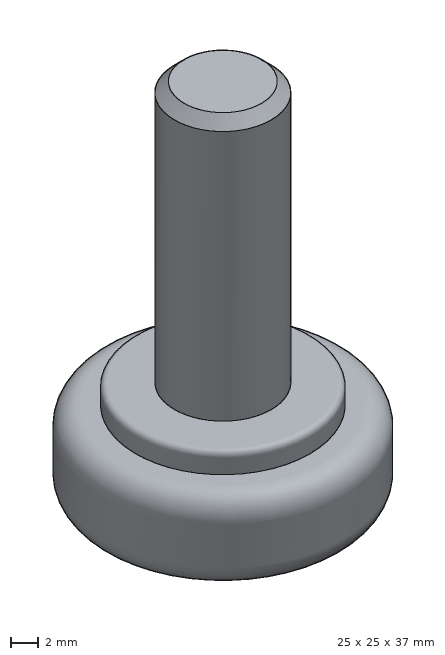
import cadquery as cq

head_diameter = 25.0
head_height = 8.0
head_fillet = 2.0
collar_diameter = 18.0
collar_height = 2.0
collar_fillet = 0.5
shank_diameter = 10.0
shank_chamfer = 1.0
overall_height = 37.0

collar_base = head_height
shank_base = collar_base + collar_height
shank_length = overall_height - shank_base


def cylinder(diameter, height, base):
    """Upright cylinder on the Z axis, starting at the given level."""
    return cq.Workplane("XY").workplane(offset=base).circle(diameter / 2).extrude(height)


def make_head():
    """Round head with both rims rounded."""
    return cylinder(head_diameter, head_height, 0).edges("%CIRCLE").fillet(head_fillet)


def make_collar():
    """Shoulder on the head with a rounded upper rim."""
    return cylinder(collar_diameter, collar_height, collar_base).faces(">Z").edges().fillet(collar_fillet)


def make_shank():
    """Plain shank with a chamfered tip."""
    return cylinder(shank_diameter, shank_length, shank_base).faces(">Z").edges().chamfer(shank_chamfer)


result = make_head().union(make_collar()).union(make_shank())